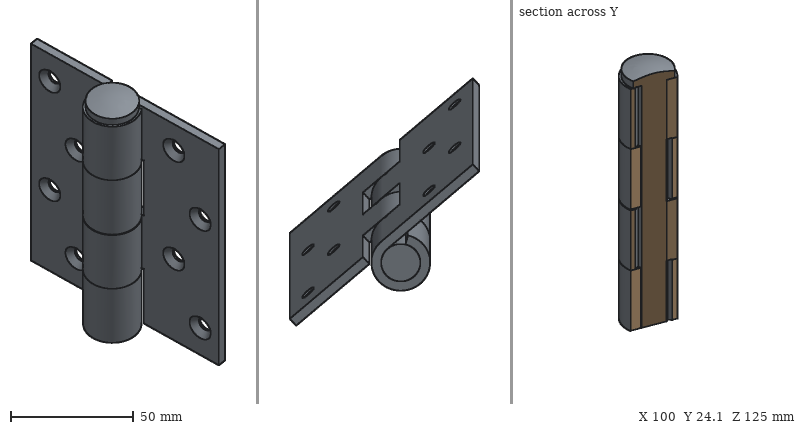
import cadquery as cq
import math


leaf_thickness = 4.0
leaf_half_span = 50.0
notch_half_width = 10.0
knuckle_pitch = 30.0
knuckle_count = 4
knuckle_clearance = 0.4

barrel_diameter = 24.1
pin_diameter = 16.0
roll_gap = 1.2
head_diameter = 22.0
head_rim_top = 123.1
overall_height = 125.0

screw_hole_diameter = 6.2
countersink_diameter = 11.2
countersink_depth = 3.0
outer_hole_offset = 40.0
inner_hole_offset = 26.0

barrel_radius = barrel_diameter / 2
pin_radius = pin_diameter / 2
leaf_back = barrel_radius
leaf_front = leaf_back - leaf_thickness
bore_radius = leaf_front
roll_end_angle = math.asin((leaf_front - roll_gap) / barrel_radius)
left_height = knuckle_count * knuckle_pitch
right_height = left_height - knuckle_clearance


def screw_hole(x, z):
    """Cutter for one countersunk screw hole, opening toward -Y."""
    hole_radius = screw_hole_diameter / 2
    sink_radius = countersink_diameter / 2
    profile = [
        (0, 0),
        (sink_radius, 0),
        (hole_radius, countersink_depth),
        (hole_radius, leaf_thickness),
        (0, leaf_thickness),
    ]
    cutter = cq.Workplane("XY").polyline(profile).close().revolve(360, (0, 0, 0), (0, 1, 0))
    return cutter.translate((x, leaf_front, z))


def knuckle(side, base, height):
    """Plate strip on the given side, rolled around the pin until it nearly meets its own front."""
    end_x = side * math.cos(roll_end_angle)
    end_y = math.sin(roll_end_angle)
    return (
        cq.Workplane("XY")
        .workplane(offset=base)
        .moveTo(side * notch_half_width, leaf_back)
        .lineTo(0, leaf_back)
        .threePointArc((0, -barrel_radius), (barrel_radius * end_x, barrel_radius * end_y))
        .lineTo(bore_radius * end_x, bore_radius * end_y)
        .threePointArc((0, -bore_radius), (0, bore_radius))
        .lineTo(side * notch_half_width, leaf_front)
        .close()
        .extrude(height)
    )


def leaf(side, height, first_slot, knuckle_height, even_slot_column, odd_slot_column):
    """One leaf on the given side (-1 left, +1 right) of the hinge axis.

    Its knuckles fill every second slot from first_slot upward. One screw hole sits at
    mid-height of each slot, alternating between the two hole columns.
    """
    plate_width = leaf_half_span - notch_half_width
    body = (
        cq.Workplane("XY")
        .center(side * (notch_half_width + plate_width / 2), (leaf_front + leaf_back) / 2)
        .rect(plate_width, leaf_thickness)
        .extrude(height)
    )
    for slot in range(first_slot, knuckle_count, 2):
        body = body.union(knuckle(side, slot * knuckle_pitch, knuckle_height))
    for slot in range(knuckle_count):
        column = even_slot_column if slot % 2 == 0 else odd_slot_column
        body = body.cut(screw_hole(side * column, (slot + 0.5) * knuckle_pitch))
    return body


def hinge_pin():
    """Pin running the full length of the barrel, with a domed head resting on the top knuckle."""
    head_radius = head_diameter / 2
    dome_height = overall_height - head_rim_top
    dome_radius = (head_radius**2 + dome_height**2) / (2 * dome_height)
    mid_radius = head_radius / 2
    mid_height = overall_height - dome_radius + math.sqrt(dome_radius**2 - mid_radius**2)
    return (
        cq.Workplane("XZ")
        .lineTo(pin_radius, 0)
        .lineTo(pin_radius, right_height)
        .lineTo(head_radius, right_height)
        .lineTo(head_radius, head_rim_top)
        .threePointArc((mid_radius, mid_height), (0, overall_height))
        .close()
        .revolve(360, (0, 0, 0), (0, 1, 0))
    )


left_leaf = leaf(-1, left_height, 0, knuckle_pitch, inner_hole_offset, outer_hole_offset)
right_leaf = leaf(
    1, right_height, 1, knuckle_pitch - knuckle_clearance, outer_hole_offset, inner_hole_offset
)
pin = hinge_pin()

result = cq.Compound.makeCompound([left_leaf.val(), right_leaf.val(), pin.val()])